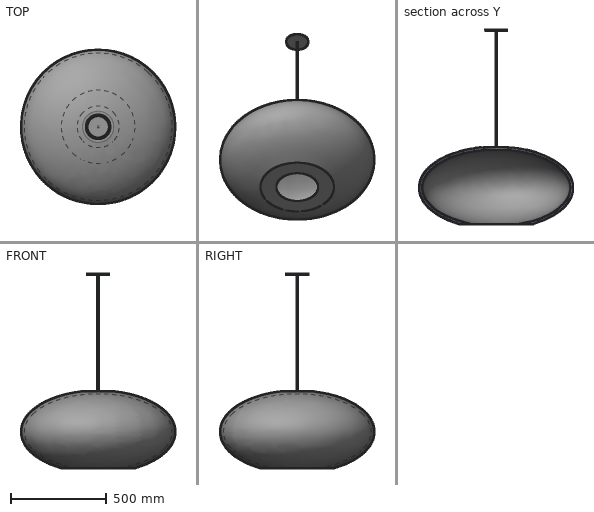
import cadquery as cq
import math

shade_diameter = 812.4
overall_height = 1023.83

shade_half_height = 218.0
wall_thickness = 18.0
top_rim_diameter = 164.0
top_hole_diameter = 126.0
bottom_rim_diameter = 386.0

rod_diameter = 10.0
canopy_diameter = 116.0
canopy_thickness = 9.5
canopy_edge_radius = 1.0

shade_radius = shade_diameter / 2


def ellipsoid_height(rim_diameter):
    """Distance from the equator to the circle of the given diameter on the outer ellipsoid."""
    return shade_half_height * math.sqrt(1 - (rim_diameter / shade_diameter) ** 2)


shade_top = ellipsoid_height(top_rim_diameter)
shade_bottom = -ellipsoid_height(bottom_rim_diameter)
canopy_top = shade_bottom + overall_height
canopy_bottom = canopy_top - canopy_thickness


def make_ellipsoid(radius, half_height):
    return (
        cq.Workplane("XZ")
        .moveTo(0, -half_height)
        .ellipseArc(radius, half_height, -90, 90, startAtCurrent=True)
        .close()
        .revolve(360, (0, 0), (0, 1))
    )


def make_cylinder(diameter, bottom, top):
    return cq.Workplane("XY").workplane(offset=bottom).circle(diameter / 2).extrude(top - bottom)


def make_shade():
    outer = make_ellipsoid(shade_radius, shade_half_height)
    cavity = make_ellipsoid(shade_radius - wall_thickness, shade_half_height - wall_thickness)
    flat_cuts = make_cylinder(2 * shade_diameter, shade_bottom, shade_top)
    top_hole = make_cylinder(top_hole_diameter, 0, shade_top)
    return outer.intersect(flat_cuts).cut(cavity).cut(top_hole)


shade = make_shade()

rod = make_cylinder(rod_diameter, shade_top, canopy_bottom)

canopy = make_cylinder(canopy_diameter, canopy_bottom, canopy_top)
canopy = canopy.faces("<Z").edges().fillet(canopy_edge_radius)

result = cq.Compound.makeCompound([shade.val(), rod.val(), canopy.val()])